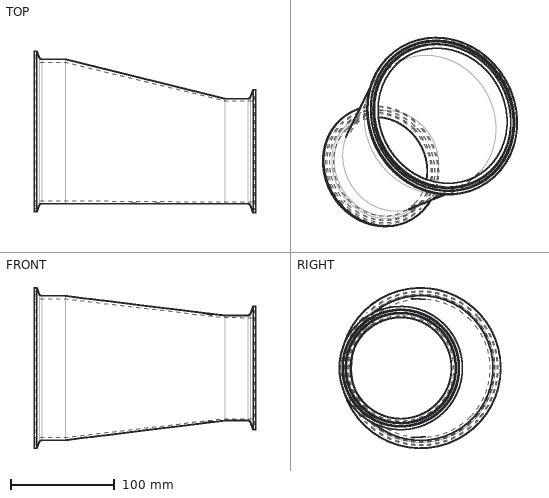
import cadquery as cq
import math

LENGTH = 214.0
FERRULE_LENGTH = 30.0

LARGE_FLANGE_DIAMETER = 155.0
LARGE_OUTER_DIAMETER = 139.7
LARGE_BORE_DIAMETER = 133.8

SMALL_FLANGE_DIAMETER = 119.0
SMALL_OUTER_DIAMETER = 101.6
SMALL_BORE_DIAMETER = 97.5

RIM_THICKNESS = 2.8
BACK_SLOPE = math.radians(20)
NECK_RADIUS = 2.5

GROOVE_RIM_MARGIN = 2.8
GROOVE_WIDTH = 4.0
GROOVE_FLOOR_WIDTH = 2.1
GROOVE_DEPTH = 1.5

SMALL_AXIS_Y = -(LARGE_OUTER_DIAMETER - SMALL_OUTER_DIAMETER) / 2


def ferrule(flange_diameter, outer_diameter, bore_diameter):
    """Clamp ferrule on the X axis with its gasket face at X = 0."""
    flange_radius = flange_diameter / 2
    outer_radius = outer_diameter / 2
    bore_radius = bore_diameter / 2

    groove_outer = flange_radius - GROOVE_RIM_MARGIN
    groove_inner = groove_outer - GROOVE_WIDTH
    wall_run = (GROOVE_WIDTH - GROOVE_FLOOR_WIDTH) / 2

    slope_length = NECK_RADIUS * (1 - math.sin(BACK_SLOPE))
    arc_start_radius = outer_radius + slope_length
    arc_start_x = RIM_THICKNESS + (flange_radius - arc_start_radius) * math.tan(BACK_SLOPE)
    arc_center_x = arc_start_x + NECK_RADIUS * math.cos(BACK_SLOPE)
    arc_center_radius = outer_radius + NECK_RADIUS
    middle_angle = (BACK_SLOPE + math.pi / 2) / 2
    arc_middle = (
        arc_center_x - NECK_RADIUS * math.cos(middle_angle),
        arc_center_radius - NECK_RADIUS * math.sin(middle_angle),
    )

    section = (
        cq.Workplane("XY")
        .moveTo(0, bore_radius)
        .lineTo(0, groove_inner)
        .lineTo(GROOVE_DEPTH, groove_inner + wall_run)
        .lineTo(GROOVE_DEPTH, groove_outer - wall_run)
        .lineTo(0, groove_outer)
        .lineTo(0, flange_radius)
        .lineTo(RIM_THICKNESS, flange_radius)
        .lineTo(arc_start_x, arc_start_radius)
        .threePointArc(arc_middle, (arc_center_x, outer_radius))
        .lineTo(FERRULE_LENGTH, outer_radius)
        .lineTo(FERRULE_LENGTH, bore_radius)
        .close()
    )
    return section.revolve(360, (0, 0, 0), (1, 0, 0))


def oblique_cone(large_diameter, small_diameter):
    """Solid between the two ferrules, from the large circle to the offset small one."""
    return (
        cq.Workplane("YZ", origin=(FERRULE_LENGTH, 0, 0))
        .circle(large_diameter / 2)
        .workplane(offset=LENGTH - 2 * FERRULE_LENGTH)
        .center(SMALL_AXIS_Y, 0)
        .circle(small_diameter / 2)
        .loft(ruled=True)
    )


large_ferrule = ferrule(LARGE_FLANGE_DIAMETER, LARGE_OUTER_DIAMETER, LARGE_BORE_DIAMETER)
small_ferrule = (
    ferrule(SMALL_FLANGE_DIAMETER, SMALL_OUTER_DIAMETER, SMALL_BORE_DIAMETER)
    .rotate((0, 0, 0), (0, 0, 1), 180)
    .translate((LENGTH, SMALL_AXIS_Y, 0))
)
outer_cone = oblique_cone(LARGE_OUTER_DIAMETER, SMALL_OUTER_DIAMETER)
inner_cone = oblique_cone(LARGE_BORE_DIAMETER, SMALL_BORE_DIAMETER)
reducer = outer_cone.cut(inner_cone)

result = large_ferrule.union(reducer).union(small_ferrule)